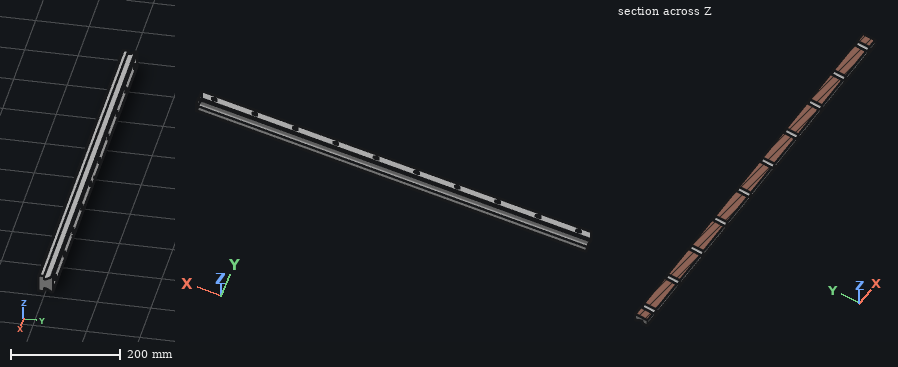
import cadquery as cq

length = 770.0
depth = 27.5
width = 34.0
half_depth = depth / 2
half_width = width / 2

base_depth = 11.0
base_step_y = base_depth - half_depth
base_chamfer = 2.0

root_z = 8.5
root_fillet = 2.0
flank_top_y = 8.0
flank_top_z = 14.5

head_lip_y = 10.5
head_chamfer = 1.0

hole_diameter = 9.0
hole_count = 10
hole_pitch = 80.0
end_margin = (length - (hole_count - 1) * hole_pitch) / 2


def rail_body():
    """Constant cross-section along X: chamfered base, grooved waist and flared head, mirrored about Z = 0."""
    upper_side = [
        (-half_depth, half_width - base_chamfer),
        (-half_depth + base_chamfer, half_width),
        (base_step_y, half_width),
        (base_step_y, root_z),
        (flank_top_y, flank_top_z),
        (head_lip_y, half_width),
        (half_depth - head_chamfer, half_width),
        (half_depth, half_width - head_chamfer),
    ]
    lower_side = [(y, -z) for y, z in reversed(upper_side)]
    return cq.Workplane("YZ").polyline(upper_side + lower_side).close().extrude(length)


def round_groove_roots(body):
    """Fillet the inner corner of the groove on the upper and lower sides."""
    for side in (1, -1):
        root_point = (length / 2, base_step_y, side * root_z)
        root_edge = body.edges("|X").edges(cq.selectors.NearestToPointSelector(root_point))
        body = root_edge.fillet(root_fillet)
    return body


def mounting_holes():
    """Row of plain through holes along the rail, running in the Y direction."""
    positions = [(end_margin + i * hole_pitch, 0) for i in range(hole_count)]
    return (
        cq.Workplane("XZ", origin=(0, half_depth, 0))
        .pushPoints(positions)
        .circle(hole_diameter / 2)
        .extrude(depth)
    )


result = round_groove_roots(rail_body()).cut(mounting_holes())